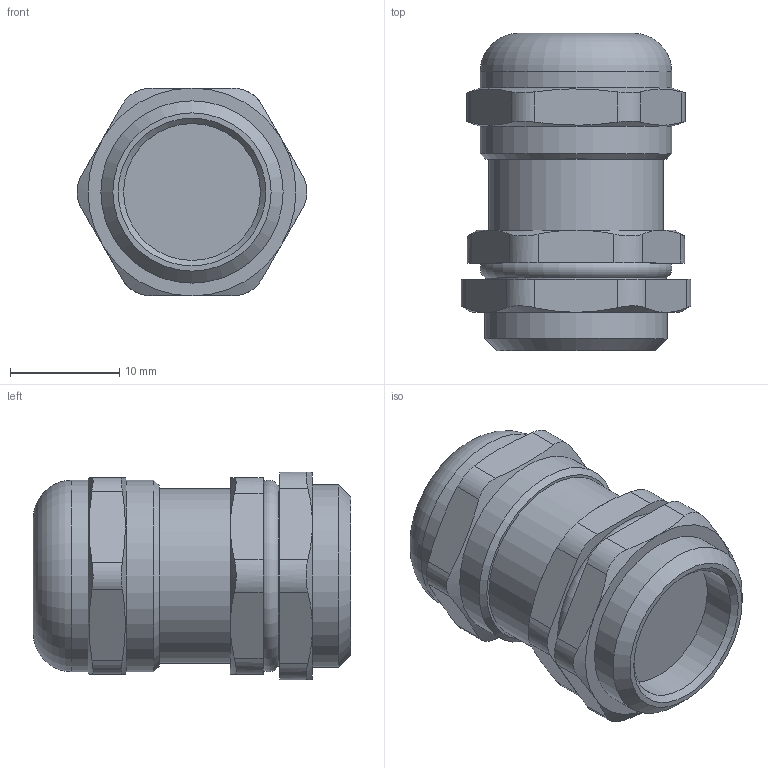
import cadquery as cq
import math


thread_end = 3.5
front_nut_end = 6.5
seal_end = 8.0
body_nut_end = 11.0
cap_start = 17.5
cap_nut_start = 20.5
cap_nut_end = 24.0
length = 29.0

thread_diameter = 16.66
thread_chamfer = 1.1
barrel_diameter = 16.0
cap_diameter = 17.5
cap_skirt_chamfer = 0.5
dome_radius = 3.5
seal_diameter = 17.5
seal_rim_radius = 1.0
seal_crest = 7.5
seal_neck_diameter = 16.5

bore_mouth_diameter = 13.5
bore_diameter = 12.5
bore_chamfer_depth = 0.5
bore_depth = 3.5

front_nut_flats = 19.0
front_nut_corner_radius = 3.0
body_nut_flats = 18.0
body_nut_corner_radius = 3.0
cap_nut_flats = 18.0
cap_nut_corner_radius = 2.5
front_nut_chamfer_angle = 30.0
body_nut_chamfer_angle = 30.0
cap_nut_chamfer_angle = 20.0


def turned(half_profile):
    """Revolve a closed half profile, drawn as (radius, y), about the Y axis."""
    return half_profile.close().revolve(360, (0, 0, 0), (0, 1, 0))


def cylinder(diameter, y_start, y_end):
    return turned(
        cq.Workplane("XY")
        .moveTo(0, y_start)
        .lineTo(diameter / 2, y_start)
        .lineTo(diameter / 2, y_end)
        .lineTo(0, y_end)
    )


def hex_nut(
    flats, corner_radius, y_start, y_end,
    face_diameter, chamfer_angle, chamfer_start=False, chamfer_end=False,
):
    """Rounded hexagon with corners on the X axis, chamfered on the chosen faces."""
    corner_diameter = flats / math.cos(math.pi / 6)
    nut = (
        cq.Workplane("XZ", origin=(0, y_start, 0))
        .polygon(6, corner_diameter)
        .extrude(y_start - y_end)
        .edges("|Y")
        .fillet(corner_radius)
    )
    face_radius = face_diameter / 2
    outer_radius = corner_diameter / 2
    drop = (outer_radius - face_radius) * math.tan(math.radians(chamfer_angle))
    drop_start = drop if chamfer_start else 0
    drop_end = drop if chamfer_end else 0
    envelope = cq.Workplane("XY").moveTo(0, y_start)
    if chamfer_start:
        envelope = envelope.lineTo(face_radius, y_start)
    envelope = envelope.lineTo(outer_radius, y_start + drop_start)
    envelope = envelope.lineTo(outer_radius, y_end - drop_end)
    if chamfer_end:
        envelope = envelope.lineTo(face_radius, y_end)
    return nut.intersect(turned(envelope.lineTo(0, y_end)))


def threaded_end():
    radius = thread_diameter / 2
    return turned(
        cq.Workplane("XY")
        .lineTo(radius - thread_chamfer, 0)
        .lineTo(radius, thread_chamfer)
        .lineTo(radius, thread_end)
        .lineTo(0, thread_end)
    )


def sealing_ring():
    """Neck with a rounded bulge that runs into the body nut."""
    crest_radius = seal_diameter / 2
    neck_radius = seal_neck_diameter / 2
    rim_center = crest_radius - seal_rim_radius
    bulge_start = seal_crest - math.sqrt(seal_rim_radius**2 - (neck_radius - rim_center) ** 2)
    bulge_end_radius = rim_center + math.sqrt(seal_rim_radius**2 - (seal_end - seal_crest) ** 2)
    return turned(
        cq.Workplane("XY")
        .moveTo(0, front_nut_end)
        .lineTo(neck_radius, front_nut_end)
        .lineTo(neck_radius, bulge_start)
        .threePointArc((crest_radius, seal_crest), (bulge_end_radius, seal_end))
        .lineTo(0, seal_end)
    )


def domed_cap():
    radius = cap_diameter / 2
    arc_reach = dome_radius * math.sqrt(0.5)
    dome_start = length - dome_radius
    flat_radius = radius - dome_radius
    return turned(
        cq.Workplane("XY")
        .moveTo(0, cap_start)
        .lineTo(radius - cap_skirt_chamfer, cap_start)
        .lineTo(radius, cap_start + cap_skirt_chamfer)
        .lineTo(radius, dome_start)
        .threePointArc((flat_radius + arc_reach, dome_start + arc_reach), (flat_radius, length))
        .lineTo(0, length)
    )


def bore():
    return turned(
        cq.Workplane("XY")
        .lineTo(bore_mouth_diameter / 2, 0)
        .lineTo(bore_diameter / 2, bore_chamfer_depth)
        .lineTo(bore_diameter / 2, bore_depth)
        .lineTo(0, bore_depth)
    )


front_nut = hex_nut(
    front_nut_flats, front_nut_corner_radius, thread_end, front_nut_end,
    front_nut_flats, front_nut_chamfer_angle, chamfer_start=True,
)
body_nut = hex_nut(
    body_nut_flats, body_nut_corner_radius, seal_end, body_nut_end,
    body_nut_flats, body_nut_chamfer_angle, chamfer_end=True,
)
cap_nut = hex_nut(
    cap_nut_flats, cap_nut_corner_radius, cap_nut_start, cap_nut_end,
    cap_diameter, cap_nut_chamfer_angle, chamfer_start=True, chamfer_end=True,
)
barrel = cylinder(barrel_diameter, body_nut_end, cap_start)

result = (
    threaded_end()
    .union(front_nut)
    .union(sealing_ring())
    .union(body_nut)
    .union(barrel)
    .union(domed_cap())
    .union(cap_nut)
    .cut(bore())
)